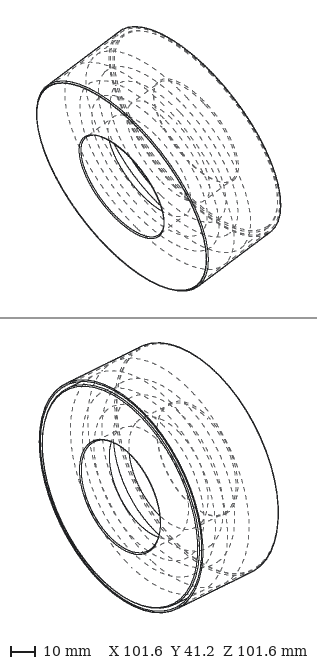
import cadquery as cq

OUTER_DIAMETER = 101.6
FRONT_WASHER_DIAMETER = 100.2
REAR_WASHER_DIAMETER = 97.5
BORE_DIAMETER = 49.2
OVERALL_LENGTH = 41.2
WASHER_THICKNESS = 15.4
REAR_PROJECTION = 0.6
BORE_CHAMFER = 0.5
SLEEVE_CHAMFER = 0.5
REAR_WASHER_CHAMFER = 0.5
RACEWAY_INNER_DIAMETER = 68.3
RACEWAY_DEPTH = 1.0

half_length = OVERALL_LENGTH / 2
half_gap = half_length - WASHER_THICKNESS
sleeve_rear = half_length - REAR_PROJECTION
bore_radius = BORE_DIAMETER / 2
raceway_inner = RACEWAY_INNER_DIAMETER / 2
pitch_radius = (BORE_DIAMETER + OUTER_DIAMETER) / 4
raceway_outer = 2 * pitch_radius - raceway_inner


def revolved(profile):
    """Close a profile of (radius, y) points and turn it about the Y axis."""
    return profile.close().revolve(360, (0, 0, 0), (0, 1, 0))


def make_washer(side, diameter, rim_chamfer=0.0):
    """Washer at -Y (side -1) or +Y (side 1), with a raceway groove facing the gap."""
    rim_radius = diameter / 2
    face = side * half_length
    gap_face = side * half_gap
    groove_bottom = gap_face + side * RACEWAY_DEPTH
    profile = (
        cq.Workplane("XY")
        .moveTo(rim_radius, gap_face)
        .lineTo(raceway_outer, gap_face)
        .threePointArc((pitch_radius, groove_bottom), (raceway_inner, gap_face))
        .lineTo(bore_radius, gap_face)
        .lineTo(bore_radius, face - side * BORE_CHAMFER)
        .lineTo(bore_radius + BORE_CHAMFER, face)
        .lineTo(rim_radius - rim_chamfer, face)
    )
    if rim_chamfer > 0:
        profile = profile.lineTo(rim_radius, face - side * rim_chamfer)
    return revolved(profile)


def make_sleeve():
    """Thin outer sleeve, flush with the front washer and chamfered there."""
    outer_radius = OUTER_DIAMETER / 2
    inner_radius = FRONT_WASHER_DIAMETER / 2
    profile = (
        cq.Workplane("XY")
        .moveTo(inner_radius, -half_length)
        .lineTo(outer_radius - SLEEVE_CHAMFER, -half_length)
        .lineTo(outer_radius, -half_length + SLEEVE_CHAMFER)
        .lineTo(outer_radius, sleeve_rear)
        .lineTo(inner_radius, sleeve_rear)
    )
    return revolved(profile)


front_washer = make_washer(-1, FRONT_WASHER_DIAMETER)
rear_washer = make_washer(1, REAR_WASHER_DIAMETER, REAR_WASHER_CHAMFER)
sleeve = make_sleeve()

result = cq.Compound.makeCompound([front_washer.val(), rear_washer.val(), sleeve.val()])